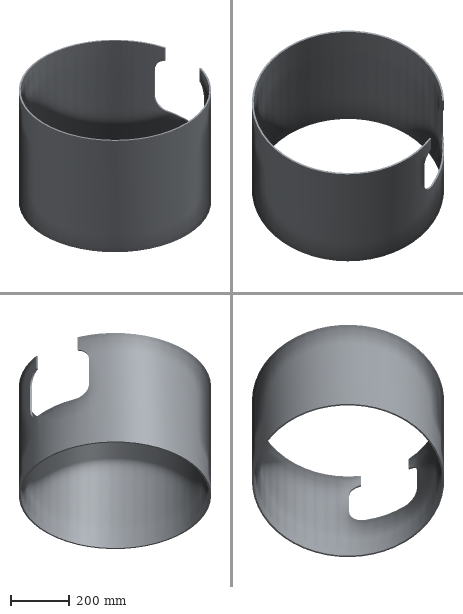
import cadquery as cq

outer_diameter = 660.5
inner_diameter = 648.0
height = 450.0

window_angle = 46.2
window_bottom = 196.0
window_top = 398.0
window_corner_radius = 53.0
slot_angle = 31.8

cutter_margin = 13.0


def ring():
    return cq.Workplane("XY").circle(outer_diameter / 2).circle(inner_diameter / 2).extrude(height)


def wall_cutter(angle, bottom, top):
    """Ring sector with radial side faces, centred on the +Y direction."""
    inner_reach = inner_diameter / 2 - cutter_margin
    outer_reach = outer_diameter / 2 + cutter_margin
    sector = (
        cq.Workplane("XZ")
        .moveTo(inner_reach, bottom)
        .lineTo(outer_reach, bottom)
        .lineTo(outer_reach, top)
        .lineTo(inner_reach, top)
        .close()
        .revolve(angle, (0, 0, 0), (0, -1, 0))
    )
    return sector.rotate((0, 0, 0), (0, 0, 1), 90 + angle / 2)


window = wall_cutter(window_angle, window_bottom, window_top)
window = window.edges("%LINE and #Z").fillet(window_corner_radius)

slot_bottom = (window_bottom + window_top) / 2
slot = wall_cutter(slot_angle, slot_bottom, height + cutter_margin)

result = ring().cut(window).cut(slot)